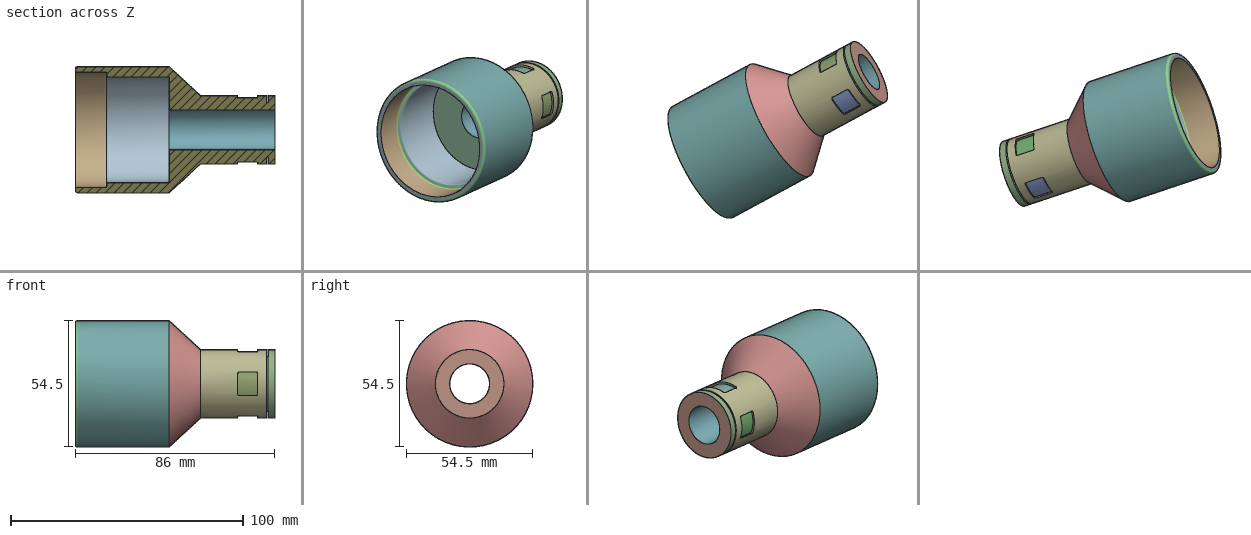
import cadquery as cq

total_length = 86.0
shoulder_x = 40.3
neck_x = 53.9
seat_x = 13.5
groove_start_x = 82.4
groove_width = 0.6

body_diameter = 54.5
neck_diameter = 29.5
groove_diameter = 23.7
socket_diameter = 49.5
chamber_diameter = 45.5
through_diameter = 17.0

rim_fillet = 1.0
seat_fillet = 0.5

recess_count = 4
recess_start_x = 69.9
recess_length = 8.6
recess_width = 10.2
recess_depth = 0.9
recess_corner_radius = 0.7


def cylinder(start_x, length, diameter):
    """Solid cylinder on the X axis."""
    return cq.Workplane("YZ", origin=(start_x, 0, 0)).circle(diameter / 2).extrude(length)


def outer_body():
    """Large sleeve, cone and neck, with the open rim rounded on its outside."""
    body_radius = body_diameter / 2
    neck_radius = neck_diameter / 2
    profile = (
        cq.Workplane("XY")
        .moveTo(0, 0)
        .lineTo(0, body_radius)
        .lineTo(shoulder_x, body_radius)
        .lineTo(neck_x, neck_radius)
        .lineTo(total_length, neck_radius)
        .lineTo(total_length, 0)
        .close()
    )
    body = profile.revolve(360, (0, 0, 0), (1, 0, 0))
    return body.faces("<X").edges().fillet(rim_fillet)


def stepped_bore():
    """Socket, narrower chamber ending level with the shoulder, and through hole."""
    socket = cylinder(0, seat_x, socket_diameter)
    chamber = cylinder(0, shoulder_x, chamber_diameter)
    seat_edges = cq.selectors.BoxSelector(
        (seat_x - seat_fillet, -body_diameter, -body_diameter),
        (seat_x + seat_fillet, body_diameter, body_diameter),
    )
    stepped = socket.union(chamber).edges(seat_edges).fillet(seat_fillet)
    return stepped.union(cylinder(0, total_length, through_diameter))


def end_groove():
    """Narrow ring groove near the end of the neck."""
    ring = cylinder(groove_start_x, groove_width, body_diameter)
    return ring.cut(cylinder(groove_start_x, groove_width, groove_diameter))


def neck_recesses():
    """Rounded rectangular recesses whose floors follow the neck."""
    floor = cylinder(recess_start_x, recess_length, neck_diameter - 2 * recess_depth)
    block = (
        cq.Workplane("XY")
        .center(recess_start_x + recess_length / 2, 0)
        .rect(recess_length, recess_width)
        .extrude(neck_diameter)
        .edges("|Z")
        .fillet(recess_corner_radius)
    )
    pocket = block.cut(floor)
    pockets = pocket
    for index in range(1, recess_count):
        angle = index * 360 / recess_count
        pockets = pockets.union(pocket.rotate((0, 0, 0), (1, 0, 0), angle))
    return pockets


result = outer_body().cut(stepped_bore()).cut(end_groove()).cut(neck_recesses())